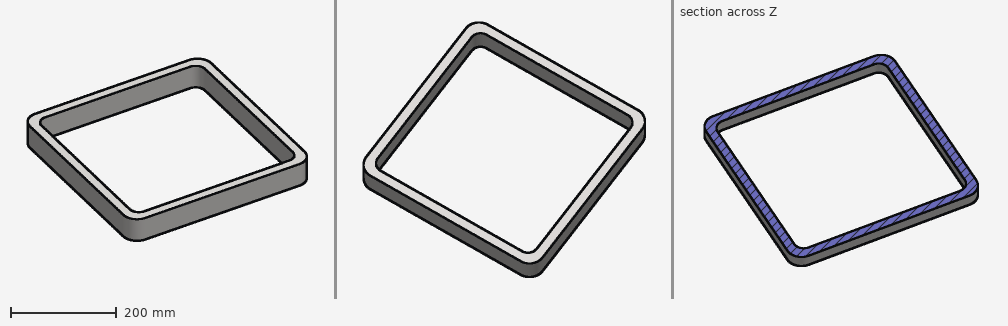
import cadquery as cq

outer_side = 400.0
wall = 20.0
height = 50.0
outer_corner_radius = 30.0
inner_corner_radius = 20.0

inner_side = outer_side - 2 * wall


def rounded_square_block(side, corner_radius):
    """Square block standing on the XY plane, with its vertical edges rounded."""
    block = cq.Workplane("XY").box(side, side, height, centered=(True, True, False))
    return block.edges("|Z").fillet(corner_radius)


frame_body = rounded_square_block(outer_side, outer_corner_radius)
opening = rounded_square_block(inner_side, inner_corner_radius)

result = frame_body.cut(opening)